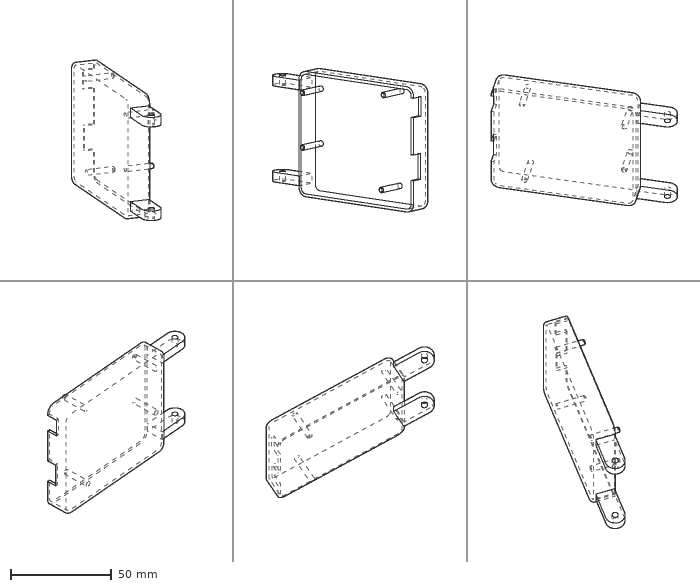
import cadquery as cq

total_length = 93.7
tray_length = 73.8
tray_height = 63.5
tray_depth = 12.6
corner_radius = 4.5
face_fillet = 2.0
wall = 1.5

tab_width = 9.9
tab_thickness = 5.0
tab_center_y = 7.2
tab_offset_z = 24.3
tab_hole_diameter = 3.0

pin_diameter = 2.8
pin_tip_y = 16.6
pin_chamfer = 0.5
right_pins_x = 68.6
pin_centers = [
    (16.5, 26.6),
    (17.8, -21.6),
    (right_pins_x, 21.55),
    (right_pins_x, -6.2),
]

notches = [
    (21.5, 9.8, 5.9),
    (-8.9, 13.0, 5.3),
]


def rounded_block(length, height, depth, radius):
    """Block with rounded vertical corners, centered on X and Z, from Y = 0 to depth."""
    block = cq.Workplane("XY").box(length, depth, height).edges("|Y").fillet(radius)
    return block.translate((0, depth / 2, 0))


def make_tray():
    outer = rounded_block(tray_length, tray_height, tray_depth, corner_radius)
    outer = outer.faces("<Y").edges().fillet(face_fillet)
    cavity = rounded_block(
        tray_length - 2 * wall, tray_height - 2 * wall, tray_depth, corner_radius - wall
    ).translate((0, wall, 0))
    return outer.cut(cavity).translate((tray_length / 2, 0, 0))


def make_tab(center_z):
    """Flat lug with a round end and a hinge hole along Z."""
    end_radius = tab_width / 2
    hole_x = total_length - end_radius
    root_x = tray_length - wall / 2
    bar = (
        cq.Workplane("XY")
        .box(hole_x - root_x, tab_width, tab_thickness)
        .translate(((root_x + hole_x) / 2, tab_center_y, center_z))
    )
    plane = cq.Workplane("XY", origin=(hole_x, tab_center_y, center_z - tab_thickness / 2))
    hole = plane.circle(tab_hole_diameter / 2).extrude(tab_thickness)
    return bar.union(plane.circle(end_radius).extrude(tab_thickness)).cut(hole)


def make_pin(x, z):
    """Pin rooted in the middle of the floor, with a chamfered tip."""
    root_y = wall / 2
    pin = cq.Workplane("XY").circle(pin_diameter / 2).extrude(pin_tip_y - root_y)
    pin = pin.faces(">Z").chamfer(pin_chamfer)
    return pin.rotate((0, 0, 0), (1, 0, 0), -90).translate((x, root_y, z))


def make_notch(center_z, height, depth):
    cutter = cq.Workplane("XY").box(2 * wall, depth, height)
    return cutter.translate((wall, tray_depth - depth / 2, center_z))


result = make_tray()
for notch in notches:
    result = result.cut(make_notch(*notch))
for side in (-1, 1):
    result = result.union(make_tab(side * tab_offset_z))
for pin_center in pin_centers:
    result = result.union(make_pin(*pin_center))